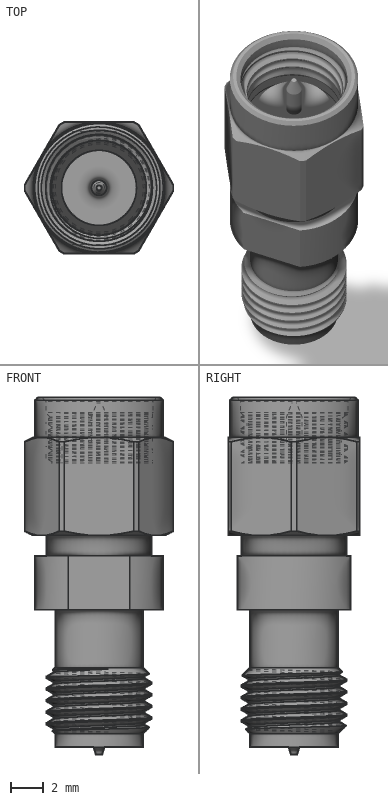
import cadquery as cq
import math

total_height = 21.7
jack_face_z = 0.46
jack_thread_bottom_z = 1.28
jack_thread_top_z = 5.28
wrench_bottom_z = 8.78
wrench_top_z = 12.06
hex_bottom_z = 13.3
hex_top_z = 19.25

jack_diameter = 5.35
neck_diameter = 6.4
wrench_diameter = 7.8
wrench_flat_width = 6.86

hex_across_flats = 8.0
hex_corner_diameter = 9.04
hex_chamfer_angle = 27
sleeve_diameter = 7.8
sleeve_chamfer = 0.2
mouth_diameter = 7.0
bore_diameter = 6.5
mouth_chamfer = (mouth_diameter - bore_diameter) / 2
plain_bore_depth = 0.93
plain_bore_z = total_height - plain_bore_depth
socket_depth = 4.0
socket_floor_z = total_height - socket_depth
spigot_diameter = 4.56
spigot_depth = 2.95
spigot_top_z = total_height - spigot_depth

thread_pitch = 0.7056
thread_crest_flat = thread_pitch / 8
flank_slope = math.tan(math.radians(30))
jack_thread_diameter = 6.4
jack_root_diameter = 5.55
jack_crest_z = 4.34
jack_thread_chamfer = (jack_thread_diameter - jack_diameter) / 2
nut_minor_diameter = 5.75
nut_major_diameter = 6.45
thread_ring_diameter = 7.0
nut_groove_z = 19.17
cutter_overlap = 0.02

pin_diameter = 0.92
upper_tip_diameter = 0.3
upper_tip_depth = 0.35
upper_cone_length = 0.8
lower_pin_root_diameter = 0.66
lower_pin_tip_diameter = 0.4


def cylinder(diameter, bottom_z, top_z):
    """Solid cylinder on the Z axis between two heights."""
    return cq.Workplane("XY").workplane(offset=bottom_z).circle(diameter / 2).extrude(top_z - bottom_z)


def revolved(points):
    """Solid of revolution about Z from an (r, z) outline."""
    return cq.Workplane("XZ").polyline(points).close().revolve(360, (0, 0, 0), (0, 1, 0))


def helical_groove(root_radius, crest_radius, start_z, length):
    """Right-hand 60 degree V cutter, narrow at the root and open just past the crest.

    The groove is centred on start_z at the +X side.
    """
    open_direction = math.copysign(1, crest_radius - root_radius)
    open_radius = crest_radius + open_direction * cutter_overlap
    crest_half_width = (thread_pitch - thread_crest_flat) / 2
    open_half_width = crest_half_width + cutter_overlap * flank_slope
    root_half_width = crest_half_width - abs(crest_radius - root_radius) * flank_slope
    helix = cq.Wire.makeHelix(thread_pitch, length, root_radius, cq.Vector(0, 0, start_z))
    profile = (
        cq.Workplane("XZ")
        .moveTo(root_radius, start_z - root_half_width)
        .lineTo(open_radius, start_z - open_half_width)
        .lineTo(open_radius, start_z + open_half_width)
        .lineTo(root_radius, start_z + root_half_width)
        .close()
    )
    return profile.sweep(cq.Workplane(obj=helix), isFrenet=True)


def jack_thread():
    """External thread with chamfered ends."""
    blank = cylinder(jack_thread_diameter, jack_thread_bottom_z, jack_thread_top_z)
    blank = blank.faces("<Z or >Z").chamfer(jack_thread_chamfer)
    turns_below = math.ceil((jack_crest_z - jack_thread_bottom_z) / thread_pitch) + 1
    start_z = jack_crest_z - (turns_below + 0.5) * thread_pitch
    length = jack_thread_top_z - start_z + thread_pitch
    return blank.cut(helical_groove(jack_root_diameter / 2, jack_thread_diameter / 2, start_z, length))


def jack_body():
    """Threaded jack barrel, two-flat wrench section and neck."""
    barrel = cylinder(jack_diameter, jack_face_z, wrench_bottom_z)
    flats = cq.Workplane("XY").box(2 * wrench_diameter, wrench_flat_width, 2 * total_height)
    wrench_section = cylinder(wrench_diameter, wrench_bottom_z, wrench_top_z).intersect(flats)
    neck = cylinder(neck_diameter, wrench_top_z, hex_bottom_z)
    return barrel.union(jack_thread()).union(wrench_section).union(neck)


def hexagon():
    """Hexagon with rounded corners and conical chamfers on both ends."""
    prism = (
        cq.Workplane("XY")
        .workplane(offset=hex_bottom_z)
        .polygon(6, hex_across_flats, circumscribed=True)
        .extrude(hex_top_z - hex_bottom_z)
    )
    prism = prism.rotate((0, 0, 0), (0, 0, 1), 30)
    corner_radial = (hex_corner_diameter - hex_across_flats) / 2
    corner_drop = corner_radial * math.tan(math.radians(hex_chamfer_angle))
    envelope = cylinder(hex_corner_diameter, hex_bottom_z, hex_top_z)
    envelope = envelope.faces(">Z").chamfer(corner_drop, corner_radial)
    envelope = envelope.faces("<Z").chamfer(corner_drop, corner_radial)
    return prism.intersect(envelope)


def nut_thread():
    """Internally threaded ring with a 45 degree lead-in cone at its top."""
    ring = cylinder(thread_ring_diameter, socket_floor_z, plain_bore_z)
    ring = ring.cut(cylinder(nut_minor_diameter, socket_floor_z, plain_bore_z))
    turns_below = math.ceil((nut_groove_z - socket_floor_z) / thread_pitch) + 1
    start_z = nut_groove_z - turns_below * thread_pitch
    length = total_height - start_z
    ring = ring.cut(helical_groove(nut_major_diameter / 2, nut_minor_diameter / 2, start_z, length))
    lead_in = revolved([
        (0, plain_bore_z - bore_diameter / 2),
        (bore_diameter / 2, plain_bore_z),
        (0, plain_bore_z),
    ])
    return ring.cut(lead_in)


def coupling_nut():
    """Hex nut with a round sleeve and a threaded socket open at the top."""
    sleeve = cylinder(sleeve_diameter, hex_top_z, total_height).faces(">Z").chamfer(sleeve_chamfer)
    socket = revolved([
        (0, socket_floor_z),
        (thread_ring_diameter / 2, socket_floor_z),
        (thread_ring_diameter / 2, plain_bore_z),
        (bore_diameter / 2, plain_bore_z),
        (bore_diameter / 2, total_height - mouth_chamfer),
        (mouth_diameter / 2, total_height),
        (0, total_height),
    ])
    return hexagon().union(sleeve).cut(socket).union(nut_thread())


def spigot_and_pin():
    """Round spigot on the socket floor carrying the pin, which has a blunt conical tip."""
    tip_z = total_height - upper_tip_depth
    return revolved([
        (0, socket_floor_z),
        (spigot_diameter / 2, socket_floor_z),
        (spigot_diameter / 2, spigot_top_z),
        (pin_diameter / 2, spigot_top_z),
        (pin_diameter / 2, tip_z - upper_cone_length),
        (upper_tip_diameter / 2, tip_z),
        (0, tip_z),
    ])


def lower_pin():
    """Tapered pin projecting from the jack face."""
    return revolved([
        (0, 0),
        (lower_pin_tip_diameter / 2, 0),
        (lower_pin_root_diameter / 2, jack_face_z),
        (0, jack_face_z),
    ])


result = jack_body().union(coupling_nut()).union(spigot_and_pin()).union(lower_pin())